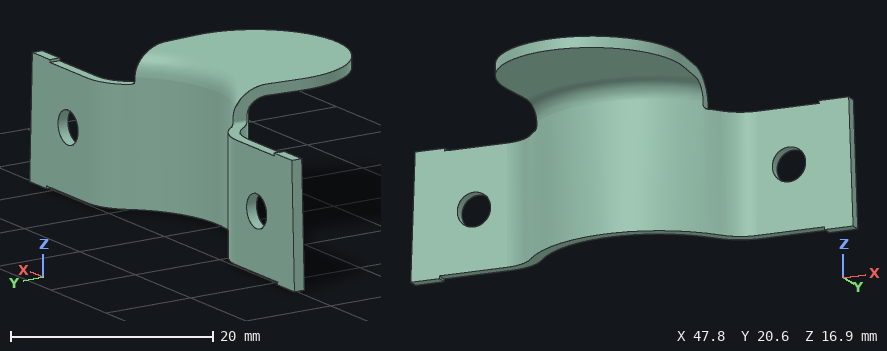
import cadquery as cq
import math

thickness = 1.2
length = 47.75
depth = 20.6
height = 16.9

saddle_depth = 7.7
saddle_back_radius = 12.0
bend_radius = 4.0
bend_start_x = 13.45
strip_bottom = 0.3
strip_top = 13.15

tab_top = 13.4
end_top_x = 23.4
tab_step_top_x = 20.2
tab_step_bottom_x = 20.78

hole_diameter = 3.6
hole_centers = [(-17.05, 6.7), (16.95, 7.2)]

lip_radius = 9.55
lip_taper_angle = 5.0
fold_inner_radius = 1.8
neck_fillet_radius = 0.4

end_bottom_x = length / 2
saddle_front_radius = saddle_back_radius + thickness
saddle_center_y = saddle_front_radius - saddle_depth
bend_center_y = -thickness - bend_radius
bend_angle = math.asin(bend_start_x / (saddle_front_radius + bend_radius))
fold_outer_radius = fold_inner_radius + thickness
fold_center_z = height - fold_outer_radius
lip_center_y = lip_radius - depth


def saddle_point(radius, angle):
    """Point on the saddle, with the angle measured from its foremost line."""
    return radius * math.sin(angle), saddle_center_y - radius * math.cos(angle)


def bend_point(radius, angle):
    """Point on the right bend, with the angle measured from its flange end."""
    return bend_start_x - radius * math.sin(angle), bend_center_y + radius * math.cos(angle)


def mirrored(point):
    return -point[0], point[1]


def make_bent_sheet():
    """Upright sheet bent into two flanges and the saddle, up to the fold of the lip."""
    bend_back_radius = bend_radius + thickness
    back_middle = bend_point(bend_back_radius, bend_angle / 2)
    back_tangent = saddle_point(saddle_back_radius, bend_angle)
    front_middle = bend_point(bend_radius, bend_angle / 2)
    front_tangent = saddle_point(saddle_front_radius, bend_angle)
    return (
        cq.Workplane("XY")
        .moveTo(-end_bottom_x, 0)
        .lineTo(-bend_start_x, 0)
        .threePointArc(mirrored(back_middle), mirrored(back_tangent))
        .threePointArc(saddle_point(saddle_back_radius, 0), back_tangent)
        .threePointArc(back_middle, (bend_start_x, 0))
        .lineTo(end_bottom_x, 0)
        .lineTo(end_bottom_x, -thickness)
        .lineTo(bend_start_x, -thickness)
        .threePointArc(front_middle, front_tangent)
        .threePointArc(saddle_point(saddle_front_radius, 0), mirrored(front_tangent))
        .threePointArc(mirrored(front_middle), (-bend_start_x, -thickness))
        .lineTo(-end_bottom_x, -thickness)
        .close()
        .extrude(fold_center_z)
    )


def make_folded_sheet():
    """Ring of sheet turned outward from the saddle wall into a flat top."""
    fold_center_r = saddle_front_radius + fold_inner_radius
    rim_radius = saddle_center_y + depth + thickness
    diagonal = math.sqrt(0.5)
    return (
        cq.Workplane("XZ")
        .moveTo(saddle_back_radius, fold_center_z)
        .threePointArc(
            (fold_center_r - fold_outer_radius * diagonal, fold_center_z + fold_outer_radius * diagonal),
            (fold_center_r, height),
        )
        .lineTo(rim_radius, height)
        .lineTo(rim_radius, height - thickness)
        .lineTo(fold_center_r, height - thickness)
        .threePointArc(
            (fold_center_r - fold_inner_radius * diagonal, fold_center_z + fold_inner_radius * diagonal),
            (saddle_front_radius, fold_center_z),
        )
        .close()
        .revolve(360, (0, 0, 0), (0, 1, 0))
        .translate((0, saddle_center_y, 0))
    )


def make_strip_block():
    """Block with the tapered and stepped elevation of the strip."""
    right_edge = [
        (tab_step_bottom_x, strip_bottom),
        (tab_step_bottom_x, 0),
        (end_bottom_x, 0),
        (end_top_x, tab_top),
        (tab_step_top_x, tab_top),
        (tab_step_top_x, strip_top),
    ]
    left_edge = [mirrored(point) for point in reversed(right_edge)]
    return cq.Workplane("XZ").polyline(right_edge + left_edge).close().extrude(saddle_depth)


def make_tongue_block():
    """Block with the rounded plan outline of the lip and its neck."""
    taper = math.radians(lip_taper_angle)
    tangent_x = lip_radius * math.cos(taper)
    tangent_y = lip_center_y + lip_radius * math.sin(taper)
    root_x = tangent_x + tangent_y * math.tan(taper)
    return (
        cq.Workplane("XY", origin=(0, 0, strip_bottom))
        .moveTo(root_x, 0)
        .lineTo(tangent_x, tangent_y)
        .threePointArc((0, -depth), (-tangent_x, tangent_y))
        .lineTo(-root_x, 0)
        .close()
        .extrude(height - strip_bottom)
    )


def make_outline():
    """Solid whose sides trim the sheet, with rounded corners where the neck leaves the strip."""
    outline = make_strip_block().union(make_tongue_block())
    corner_box = cq.selectors.BoxSelector(
        (-lip_radius, -saddle_depth, strip_top - neck_fillet_radius / 2),
        (lip_radius, 0, strip_top + neck_fillet_radius / 2),
    )
    return outline.edges(corner_box).fillet(neck_fillet_radius)


def make_hole_drills():
    return cq.Workplane("XZ").pushPoints(hole_centers).circle(hole_diameter / 2).extrude(thickness)


sheet = make_bent_sheet().union(make_folded_sheet())
result = sheet.intersect(make_outline()).cut(make_hole_drills())